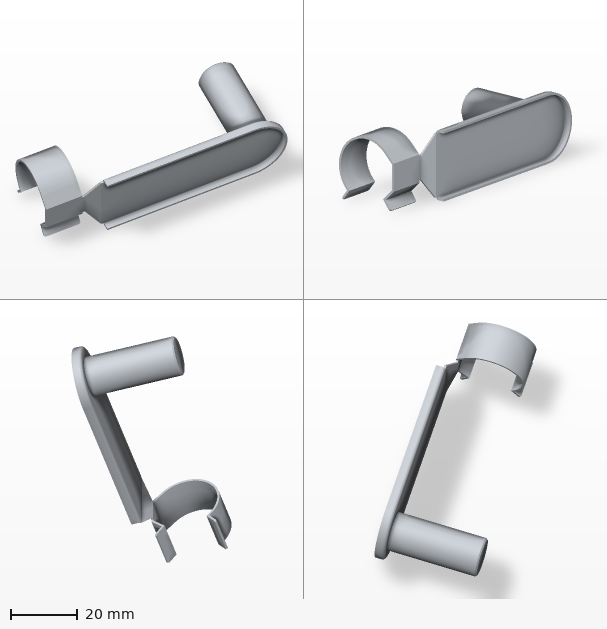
import cadquery as cq
import math


sheet = 0.7

arm_width = 22.0
arm_depth = 3.0
rim_end_y = -48.75
rim_outer_fillet = 0.9
rim_inner_fillet = rim_outer_fillet - sheet
end_radius = arm_width / 2

pin_diameter = 12.0
pin_length = 28.0
pin_chamfer = 0.5
pin_y = 2.0

neck_start_y = -49.8
neck_end_y = -54.2
neck_step = 2.0
neck_start_width = arm_width - 2 * rim_outer_fillet
neck_end_width = 7.3

total_length = 78
clip_width = 12.0
clip_radius = 10.7
clip_flat = clip_radius
clip_x = sheet - neck_step - clip_flat
clip_front_y = end_radius - total_length
clip_back_y = clip_front_y + clip_width
mouth_half_width = 7.0
lip_length = 3.9
lip_angle = 53
lip_corner = 0.4
tangent_angle = 45


def tray_block(inset, length_end, front, back):
    """Round-ended block with its outline moved inwards by inset."""
    radius = end_radius - inset
    return (
        cq.Workplane("YZ", origin=(front, 0, 0))
        .moveTo(length_end, -radius)
        .lineTo(0, -radius)
        .threePointArc((radius, 0), (0, radius))
        .lineTo(length_end, radius)
        .close()
        .extrude(back - front)
    )


def make_arm():
    outer = tray_block(0, rim_end_y, 0, arm_depth)
    outer = outer.faces("<X").edges("not <Y").fillet(rim_outer_fillet)
    cavity = tray_block(sheet, 2 * rim_end_y, sheet, 2 * arm_depth)
    cavity = cavity.faces("<X").edges("not <Y").fillet(rim_inner_fillet)
    return outer.cut(cavity)


def make_pin():
    return (
        cq.Workplane("YZ", origin=(-pin_length, pin_y, 0))
        .circle(pin_diameter / 2)
        .extrude(pin_length + sheet)
        .faces("<X")
        .chamfer(pin_chamfer)
    )


def make_neck():
    stepped_strip = (
        cq.Workplane("XY")
        .polyline([
            (0, rim_end_y),
            (0, neck_start_y),
            (-neck_step, neck_end_y),
            (-neck_step, clip_front_y),
            (sheet - neck_step, clip_front_y),
            (sheet - neck_step, neck_end_y),
            (sheet, neck_start_y),
            (sheet, rim_end_y),
        ])
        .close()
        .extrude(arm_width / 2, both=True)
    )
    start_half = neck_start_width / 2
    end_half = neck_end_width / 2
    outline = (
        cq.Workplane("YZ")
        .polyline([
            (rim_end_y, -start_half),
            (neck_start_y, -start_half),
            (neck_end_y, -end_half),
            (clip_back_y - sheet, -end_half),
            (clip_back_y - sheet, end_half),
            (neck_end_y, end_half),
            (neck_start_y, start_half),
            (rim_end_y, start_half),
        ])
        .close()
        .extrude(arm_depth, both=True)
    )
    return stepped_strip.intersect(outline)


def polar(radius, degrees):
    angle = math.radians(degrees)
    return radius * math.cos(angle), radius * math.sin(angle)


def crossing(first, second):
    """Point where two lines meet; a line is (normal angle, distance from the clip axis)."""
    (angle_1, distance_1), (angle_2, distance_2) = first, second
    x1, z1 = polar(1, angle_1)
    x2, z2 = polar(1, angle_2)
    determinant = x1 * z2 - z1 * x2
    return (distance_1 * z2 - z1 * distance_2) / determinant, (x1 * distance_2 - distance_1 * x2) / determinant


def clip_face_points(depth):
    """Corners of the clip face lying at depth below its outer face, from flat to right lip tip."""
    radius = clip_radius - depth
    flat = (0, clip_flat - depth)
    leg = (-tangent_angle, radius)
    bend_x = mouth_half_width
    bend_z = bend_x - (clip_radius - sheet / 2) / math.cos(math.radians(tangent_angle))
    normal_x, normal_z = polar(1, 90 - lip_angle)
    lip = (90 - lip_angle, bend_x * normal_x + bend_z * normal_z + sheet / 2 - depth)
    along_x, along_z = polar(1, -lip_angle)
    tip = (-lip_angle, bend_x * along_x + bend_z * along_z + lip_length)
    upper_corner = crossing((tangent_angle, radius), flat)
    return [upper_corner, crossing(flat, leg), crossing(leg, lip), crossing(lip, tip)]


def mirrored(point):
    return -point[0], point[1]


def make_clip():
    outer = clip_face_points(0)
    inner = clip_face_points(sheet)
    inner_radius = clip_radius - sheet
    arc_start = 180 + tangent_angle
    arc_middle = 180 - tangent_angle
    profile = (
        cq.Workplane("XZ", origin=(clip_x, clip_back_y, 0))
        .moveTo(*mirrored(outer[3]))
        .lineTo(*mirrored(outer[2]))
        .lineTo(*polar(clip_radius, arc_start))
        .threePointArc(polar(clip_radius, arc_middle), polar(clip_radius, tangent_angle))
    )
    for point in outer + inner[::-1]:
        profile = profile.lineTo(*point)
    profile = (
        profile.lineTo(*polar(inner_radius, tangent_angle))
        .threePointArc(polar(inner_radius, arc_middle), polar(inner_radius, arc_start))
        .lineTo(*mirrored(inner[2]))
        .lineTo(*mirrored(inner[3]))
        .close()
    )
    clip = profile.extrude(clip_width)
    along_x, along_z = polar(1, -lip_angle)
    for side in (-1, 1):
        tip_direction = cq.Vector(side * along_x, 0, along_z)
        tip_faces = clip.faces(cq.selectors.DirectionSelector(tip_direction))
        clip = tip_faces.edges("<Y or >Y").chamfer(lip_corner)
    return clip


result = make_arm().union(make_pin()).union(make_neck()).union(make_clip())